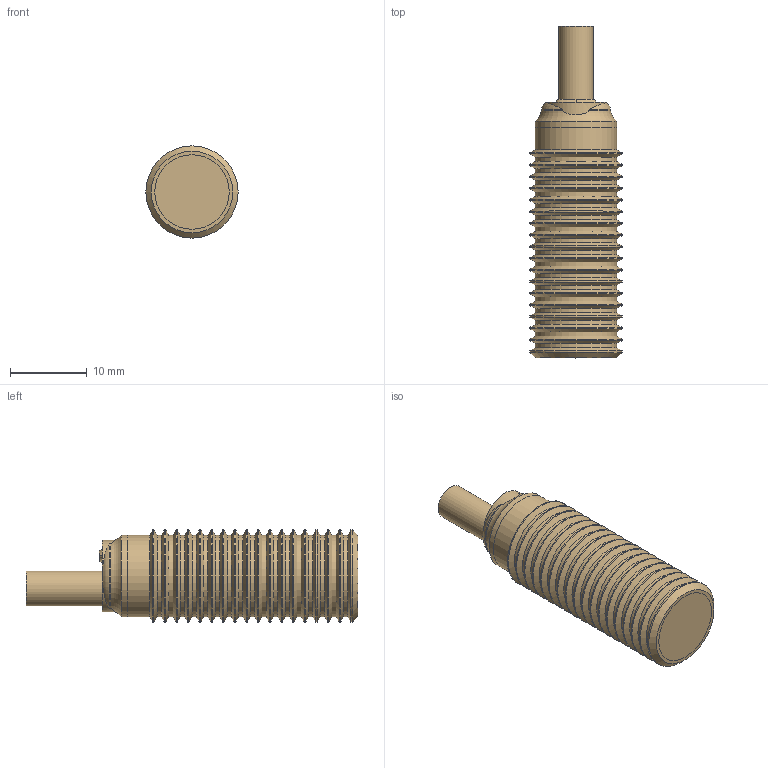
import cadquery as cq
import math


housing_length = 30.0
body_radius = 5.3
crest_radius = 6.0
front_radius = body_radius
front_chamfer = crest_radius - front_radius
thread_pitch = 1.517
thread_count = 18
first_crest = 0.84
crest_width = 0.15
flank_angle = 30.0
flank_width = (crest_radius - body_radius) * math.tan(math.radians(flank_angle))

face_radius = 4.85
face_depth = 1.0

cap_end = 33.27
shoulder_end = 30.8
neck_radius = 4.52
neck_start = 32.18
neck_end = 32.35
concave_bulge = 0.17
dome_end_radius = 3.9
dome_bulge = 0.1
lug_half_height = 4.64
lug_half_width = 3.95
lug_start = 30.5

cable_radius = 2.27
cable_height = -1.63
total_length = 43.21

window_length = 5.2
window_width = 1.72
window_height = 2.62
window_thickness = 0.4
window_taper = 25.0


def cylinder(radius, start, end, height=0):
    """Solid cylinder along Y from start to end, with its axis at the given Z height."""
    return cq.Workplane("XZ", origin=(0, start, height)).circle(radius).extrude(start - end)


def thread_ridge(crest):
    """Disc whose rim has a trapezoid section, centred on the given Y position."""
    half_crest = crest_width / 2
    half_root = half_crest + flank_width
    section = [
        (0, crest - half_root),
        (body_radius, crest - half_root),
        (crest_radius, crest - half_crest),
        (crest_radius, crest + half_crest),
        (body_radius, crest + half_root),
        (0, crest + half_root),
    ]
    return cq.Workplane("XY").polyline(section).close().revolve(360, (0, 0, 0), (0, 1, 0))


def bulged_point(start, end, bulge):
    """Middle point of an arc, moved off the chord midpoint by bulge to the right of travel."""
    dx = end[0] - start[0]
    dy = end[1] - start[1]
    chord = math.hypot(dx, dy)
    return ((start[0] + end[0]) / 2 + bulge * dy / chord, (start[1] + end[1]) / 2 - bulge * dx / chord)


def build_housing():
    housing = cylinder(body_radius, 0, housing_length)
    for index in range(thread_count):
        housing = housing.union(thread_ridge(first_crest + index * thread_pitch))
    front_cone = cq.Workplane("XY").polyline([
        (0, 0),
        (front_radius, 0),
        (crest_radius, front_chamfer),
        (crest_radius, first_crest),
        (0, first_crest),
    ]).close().revolve(360, (0, 0, 0), (0, 1, 0))
    return housing.union(front_cone).cut(cylinder(face_radius, 0, face_depth))


def build_cap():
    shoulder = (body_radius, shoulder_end)
    neck_front = (neck_radius, neck_start)
    neck_rear = (neck_radius, neck_end)
    dome_edge = (dome_end_radius, cap_end)
    revolved = (
        cq.Workplane("XY")
        .moveTo(0, housing_length)
        .lineTo(body_radius, housing_length)
        .lineTo(*shoulder)
        .threePointArc(bulged_point(shoulder, neck_front, -concave_bulge), neck_front)
        .lineTo(*neck_rear)
        .threePointArc(bulged_point(neck_rear, dome_edge, dome_bulge), dome_edge)
        .lineTo(0, cap_end)
        .close()
        .revolve(360, (0, 0, 0), (0, 1, 0))
    )
    lugs = (
        cq.Workplane("XZ", origin=(0, lug_start, 0))
        .ellipse(lug_half_width, lug_half_height)
        .extrude(lug_start - cap_end)
    )
    return revolved.union(lugs)


def build_window():
    """Elliptical button with tapered sides, standing on the end face of the cap."""
    return (
        cq.Workplane("XZ", origin=(0, cap_end, window_height))
        .ellipse(window_length / 2, window_width / 2)
        .extrude(-window_thickness, taper=window_taper)
    )


housing = build_housing()
sensing_face = cylinder(face_radius, 0, face_depth)
cap = build_cap()
cable = cylinder(cable_radius, cap_end, total_length, cable_height)
indicator_window = build_window()

result = cq.Compound.makeCompound([
    housing.val(),
    sensing_face.val(),
    cap.val(),
    cable.val(),
    indicator_window.val(),
])